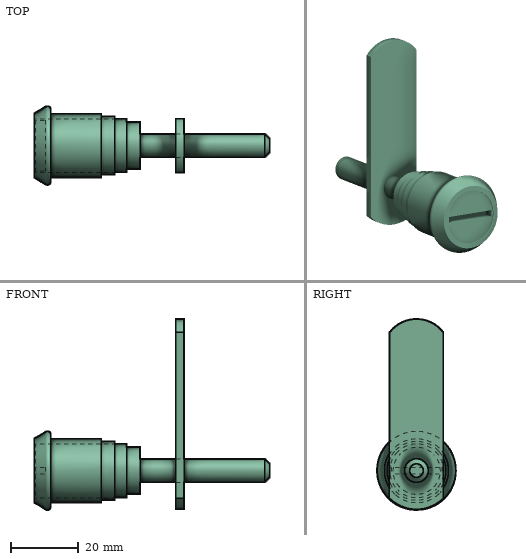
import cadquery as cq
import math

HEAD_END = 5.0
BARREL_END = 20.0
NECK_END = 24.0
CORE_END = 27.5
COLLAR_END = 31.5
CAM_START = 42.0
SHAFT_END = 70.0

BARREL_DIAMETER = 19.0
HEAD_FACE_DIAMETER = BARREL_DIAMETER
HEAD_RIM_DIAMETER = 25.0
HEAD_RIM_RADIUS = 1.0
NECK_DIAMETER = 17.5

CORE_DIAMETER = 16.0
CORE_RECESS = 0.3
COLLAR_DIAMETER = 14.0
SLOT_LENGTH = 15.0
SLOT_WIDTH = 2.0
SLOT_DEPTH = 3.0

SHAFT_DIAMETER = 7.0
TIP_CHAMFER = 1.5

CAM_THICKNESS = 2.5
CAM_WIDTH = 16.0
CAM_TOP = 45.0
CAM_TOP_RADIUS = 10.0
CAM_BOTTOM_RADIUS = 11.5


def cylinder(diameter, start, end):
    """Round bar along the X axis."""
    return cq.Workplane("YZ", origin=(start, 0, 0)).circle(diameter / 2).extrude(end - start)


def make_housing():
    head_profile = [
        (0, 0),
        (0, HEAD_FACE_DIAMETER / 2),
        (HEAD_END, HEAD_RIM_DIAMETER / 2),
        (HEAD_END, 0),
    ]
    head = cq.Workplane("XY").polyline(head_profile).close().revolve(360, (0, 0), (1, 0))
    head = head.faces(">X").edges().fillet(HEAD_RIM_RADIUS)
    barrel = cylinder(BARREL_DIAMETER, HEAD_END, BARREL_END)
    neck = cylinder(NECK_DIAMETER, BARREL_END, NECK_END)
    bore = cylinder(CORE_DIAMETER, 0, NECK_END)
    return head.union(barrel).union(neck).cut(bore)


def make_core():
    plug = cylinder(CORE_DIAMETER, CORE_RECESS, CORE_END)
    collar = cylinder(COLLAR_DIAMETER, CORE_END, COLLAR_END)
    slot = (
        cq.Workplane("YZ", origin=(CORE_RECESS, 0, 0))
        .rect(SLOT_LENGTH, SLOT_WIDTH)
        .extrude(SLOT_DEPTH)
    )
    return plug.union(collar).cut(slot)


def make_shaft():
    return cylinder(SHAFT_DIAMETER, COLLAR_END, SHAFT_END).faces(">X").chamfer(TIP_CHAMFER)


def make_cam():
    half_width = CAM_WIDTH / 2
    top_center = CAM_TOP - CAM_TOP_RADIUS
    top_corner = top_center + math.sqrt(CAM_TOP_RADIUS**2 - half_width**2)
    bottom_corner = -math.sqrt(CAM_BOTTOM_RADIUS**2 - half_width**2)
    bar = (
        cq.Workplane("YZ", origin=(CAM_START, 0, 0))
        .moveTo(-half_width, bottom_corner)
        .lineTo(-half_width, top_corner)
        .threePointArc((0, CAM_TOP), (half_width, top_corner))
        .lineTo(half_width, bottom_corner)
        .threePointArc((0, -CAM_BOTTOM_RADIUS), (-half_width, bottom_corner))
        .close()
        .extrude(CAM_THICKNESS)
    )
    shaft_hole = cylinder(SHAFT_DIAMETER, CAM_START, CAM_START + CAM_THICKNESS)
    return bar.cut(shaft_hole)


housing = make_housing()
core = make_core()
shaft = make_shaft()
cam = make_cam()

result = cq.Compound.makeCompound([housing.val(), core.val(), shaft.val(), cam.val()])